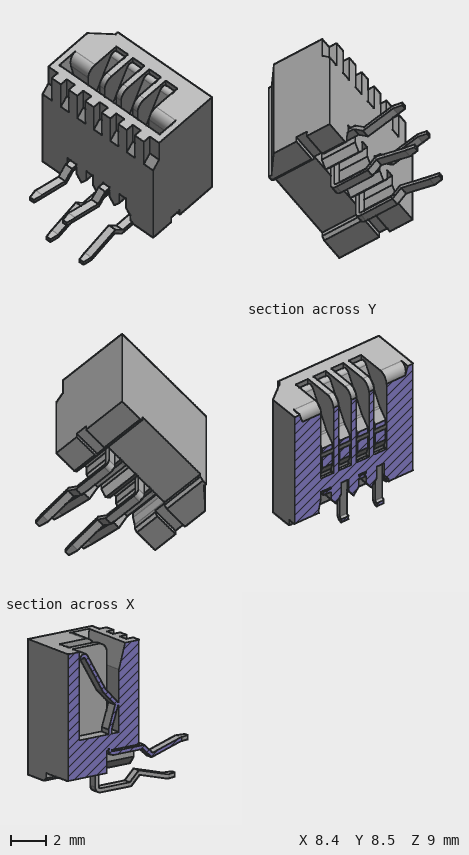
import cadquery as cq
import math


OVERALL_DEPTH = 8.5
OVERALL_HEIGHT = 9.0

BODY_WIDTH = 8.4
BODY_DEPTH = 5.0
BODY_HEIGHT = 8.0
CORNER_CUT_X = 1.25
CORNER_CUT_Y = 1.0
CORNER_STEP = 0.2

PITCH = 1.25
CONTACT_COUNT = 4
CONTACT_XS = [(i - (CONTACT_COUNT - 1) / 2) * PITCH for i in range(CONTACT_COUNT)]

GROOVE_WIDTH = 0.6
END_GROOVE_WIDTH = 0.7
GROOVE_DEPTH = 0.5
GROOVE_LENGTH = 2.0
GROOVE_COUNT = 5

MOUTH_WIDTH = 7.61
MOUTH_FRONT = 1.0
MOUTH_BACK = 2.37
MOUTH_DEPTH = 1.5
THROAT_WIDTH = 6.68
THROAT_FRONT = 1.43
BACK_ROUND = 0.6
THROAT_BACK = MOUTH_BACK - BACK_ROUND
SLOT_FLOOR_WIDTH = 6.26
SLOT_DEPTH = 5.2
SLOT_FLOOR = BODY_HEIGHT - SLOT_DEPTH

CAVITY_WIDTH = 0.86
CAVITY_BACK = 4.17

NOTCH_WIDTH = 4.91
NOTCH_HEIGHT = 0.5
NOTCH_CHAMFER = 0.2
CHANNEL_FRONT = 1.56
CHANNEL_BACK = 2.27
CHANNEL_HEIGHT = 0.4
PIN_SLOT_TOP = 1.82
FLARE_TOP = 1.0
FIRST_SLOT_EXTRA = 0.18
FIRST_SLANT_TOP = 1.305
FIRST_SLANT_BOTTOM = 0.67

STRIP = 0.25
PIN_WIDTH = 0.5
SPRING_WIDTH = 0.75
STEM_Y = 2.03
UPPER_PIN_Z = 1.62
LOWER_PIN_Z = BODY_HEIGHT - OVERALL_HEIGHT + STRIP / 2
KINK_START_Y = -0.31
KINK_Y = -0.92
KINK_RISE = 0.58
PIN_LEVEL_Y = -2.92
PIN_END_Y = BODY_DEPTH - OVERALL_DEPTH
TIP_TAPER_LENGTH = 0.52
TIP_WIDTH = 0.31
PIN_BEND = 0.13

CREST_Y = 3.86
CREST_Z = 7.83
CREST_RADIUS = 0.3
UPPER_SLOPE = math.radians(60)
LOWER_SLOPE = math.radians(46)
KNEE_Y = 2.43
KNEE_BEND = 0.5
CONTACT_TIP_Y = THROAT_FRONT + STRIP / 2
STEM_TOP = SLOT_FLOOR + STRIP


def box(x0, x1, y0, y1, z0, z1):
    """Axis-parallel block between two corners."""
    return cq.Workplane("XY").box(x1 - x0, y1 - y0, z1 - z0, centered=False).translate((x0, y0, z0))


def extrude_x(outline, width, x=0.0):
    """Solid of a YZ outline, centred on x."""
    return cq.Workplane("YZ", origin=(x, 0, 0)).polyline(outline).close().extrude(width / 2, both=True)


def extrude_y(outline, y0, y1):
    """Solid of an XZ outline from y0 to y1."""
    return cq.Workplane("XZ", origin=(0, y1, 0)).polyline(outline).close().extrude(y1 - y0)


def offset_side(path, distance):
    """Points of a mitred parallel to an open path, at the given distance to its left."""
    angles = [math.atan2(b[1] - a[1], b[0] - a[0]) for a, b in zip(path, path[1:])]
    arriving = [angles[0]] + angles
    leaving = angles + [angles[-1]]
    side = []
    for (y, z), before, after in zip(path, arriving, leaving):
        middle = (before + after) / 2
        reach = distance / math.cos((after - before) / 2)
        side.append((y - reach * math.sin(middle), z + reach * math.cos(middle)))
    return side


def bent_strip(path, width, bend_index, inner_radius):
    """Strip along a YZ path, with one of its bends rounded."""
    left = offset_side(path, STRIP / 2)
    right = offset_side(path, -STRIP / 2)
    strip = extrude_x(left + right[::-1], width)
    before, bend, after = path[bend_index - 1:bend_index + 2]
    turn = (bend[0] - before[0]) * (after[1] - bend[1]) - (bend[1] - before[1]) * (after[0] - bend[0])
    inner, outer = (left, right) if turn > 0 else (right, left)
    for side, radius in ((inner, inner_radius), (outer, inner_radius + STRIP)):
        corner = cq.selectors.NearestToPointSelector((0, *side[bend_index]))
        strip = strip.edges("|X").edges(corner).fillet(radius)
    return strip


def housing_block():
    left = -BODY_WIDTH / 2
    cut_back = BODY_DEPTH - CORNER_STEP
    outline = [
        (left, 0),
        (-left, 0),
        (-left, BODY_DEPTH),
        (left + CORNER_CUT_X, BODY_DEPTH),
        (left + CORNER_CUT_X, cut_back),
        (left, cut_back - CORNER_CUT_Y),
    ]
    return cq.Workplane("XY").polyline(outline).close().extrude(BODY_HEIGHT)


def grip_grooves():
    outline = [
        (0, BODY_HEIGHT),
        (GROOVE_DEPTH, BODY_HEIGHT),
        (GROOVE_DEPTH, BODY_HEIGHT - GROOVE_LENGTH + GROOVE_DEPTH),
        (0, BODY_HEIGHT - GROOVE_LENGTH),
    ]
    end_x = (BODY_WIDTH - END_GROOVE_WIDTH) / 2
    grooves = extrude_x(outline, END_GROOVE_WIDTH, -end_x).union(extrude_x(outline, END_GROOVE_WIDTH, end_x))
    for i in range(GROOVE_COUNT):
        x = (i - (GROOVE_COUNT - 1) / 2) * PITCH
        grooves = grooves.union(extrude_x(outline, GROOVE_WIDTH, x))
    return grooves


def card_slot():
    """Slot with sloped front and ends, a rounded back lip and slightly tapered lower ends."""
    throat_z = BODY_HEIGHT - MOUTH_DEPTH
    lip_z = BODY_HEIGHT - BACK_ROUND
    lip_mid = BACK_ROUND * math.sqrt(0.5)
    side = (
        cq.Workplane("YZ", origin=(-MOUTH_WIDTH / 2, 0, 0))
        .moveTo(MOUTH_FRONT, BODY_HEIGHT)
        .lineTo(THROAT_FRONT, throat_z)
        .lineTo(THROAT_FRONT, SLOT_FLOOR)
        .lineTo(THROAT_BACK, SLOT_FLOOR)
        .lineTo(THROAT_BACK, lip_z)
        .threePointArc((MOUTH_BACK - lip_mid, lip_z + lip_mid), (MOUTH_BACK, BODY_HEIGHT))
        .close()
        .extrude(MOUTH_WIDTH)
    )
    right_end = [
        (SLOT_FLOOR_WIDTH / 2, SLOT_FLOOR),
        (THROAT_WIDTH / 2, throat_z),
        (MOUTH_WIDTH / 2, BODY_HEIGHT),
    ]
    left_end = [(-x, z) for x, z in right_end[::-1]]
    return side.intersect(extrude_y(right_end + left_end, MOUTH_FRONT, MOUTH_BACK))


def contact_cavities():
    """One spring cavity per contact, from the throat's front wall to behind the crest."""
    throat_z = BODY_HEIGHT - MOUTH_DEPTH
    outline = [
        (THROAT_FRONT, SLOT_FLOOR),
        (THROAT_FRONT, throat_z),
        (THROAT_BACK, BODY_HEIGHT),
        (CAVITY_BACK, BODY_HEIGHT),
        (CAVITY_BACK, SLOT_FLOOR),
    ]
    cavities = cq.Workplane("XY")
    for x in CONTACT_XS:
        cavities = cavities.union(extrude_x(outline, CAVITY_WIDTH, x))
    return cavities


def bottom_notch():
    half = NOTCH_WIDTH / 2
    right_side = [
        (half + NOTCH_CHAMFER, 0),
        (half, NOTCH_CHAMFER),
        (half, NOTCH_HEIGHT),
    ]
    left_side = [(-x, z) for x, z in right_side[::-1]]
    return extrude_y(right_side + left_side, 0, BODY_DEPTH)


def bottom_channel():
    """Channel across the full width, in front of and behind the pin stems."""
    half = BODY_WIDTH / 2
    return box(-half, half, CHANNEL_FRONT, CHANNEL_BACK, 0, CHANNEL_HEIGHT)


def pin_slots():
    """Slots for the pins, flaring downwards until neighbours meet at the notch ceiling."""
    half = PIN_WIDTH / 2
    half_notch = NOTCH_WIDTH / 2
    slots = cq.Workplane("XY")
    for x in CONTACT_XS:
        outline = [
            (x - half, PIN_SLOT_TOP),
            (x + half, PIN_SLOT_TOP),
            (x + half, FLARE_TOP),
            (x + PITCH / 2, NOTCH_HEIGHT),
            (x - PITCH / 2, NOTCH_HEIGHT),
            (x - half, FLARE_TOP),
        ]
        slots = slots.union(extrude_y(outline, 0, CHANNEL_BACK))
    first_x = CONTACT_XS[0]
    outer_x = first_x - half - FIRST_SLOT_EXTRA
    outer_part = [
        (first_x, PIN_SLOT_TOP),
        (outer_x, PIN_SLOT_TOP),
        (outer_x, FIRST_SLANT_TOP),
        (-half_notch, FIRST_SLANT_BOTTOM),
        (-half_notch, NOTCH_HEIGHT),
        (first_x, NOTCH_HEIGHT),
    ]
    slots = slots.union(extrude_y(outer_part, 0, CHANNEL_BACK))
    return slots.intersect(box(-half_notch, half_notch, 0, CHANNEL_BACK, 0, PIN_SLOT_TOP))


def pin(pin_z, kink_rise):
    """Stem, bend and kinked pin with a tapered tip, centred on X = 0."""
    path = [
        (STEM_Y, STEM_TOP),
        (STEM_Y, pin_z),
        (KINK_START_Y, pin_z),
        (KINK_Y, pin_z + kink_rise),
        (PIN_LEVEL_Y, pin_z),
        (PIN_END_Y, pin_z),
    ]
    strip = bent_strip(path, PIN_WIDTH, 1, PIN_BEND)
    taper_y = PIN_END_Y + TIP_TAPER_LENGTH
    plan = [
        (-TIP_WIDTH / 2, PIN_END_Y),
        (TIP_WIDTH / 2, PIN_END_Y),
        (PIN_WIDTH / 2, taper_y),
        (PIN_WIDTH / 2, BODY_DEPTH),
        (-PIN_WIDTH / 2, BODY_DEPTH),
        (-PIN_WIDTH / 2, taper_y),
    ]
    bottom_z = pin_z - 2 * KINK_RISE
    envelope = cq.Workplane("XY", origin=(0, 0, bottom_z)).polyline(plan).close().extrude(BODY_HEIGHT)
    return strip.intersect(envelope)


def spring_head():
    """Rounded crest, two slopes down to the contact point and a return leg to the stem."""
    inner_radius = CREST_RADIUS - STRIP
    centre_z = CREST_Z - CREST_RADIUS

    def crest_point(radius, angle):
        return (CREST_Y - radius * math.sin(angle), centre_z + radius * math.cos(angle))

    back = -math.pi / 2
    crest = (
        cq.Workplane("YZ")
        .moveTo(*crest_point(CREST_RADIUS, back))
        .threePointArc(crest_point(CREST_RADIUS, 0), crest_point(CREST_RADIUS, UPPER_SLOPE))
        .lineTo(*crest_point(inner_radius, UPPER_SLOPE))
        .threePointArc(crest_point(inner_radius, 0), crest_point(inner_radius, back))
        .close()
        .extrude(SPRING_WIDTH / 2, both=True)
    )
    slope_start = crest_point(CREST_RADIUS - STRIP / 2, UPPER_SLOPE)
    knee_z = slope_start[1] - (slope_start[0] - KNEE_Y) * math.tan(UPPER_SLOPE)
    tip_z = knee_z - (KNEE_Y - CONTACT_TIP_Y) * math.tan(LOWER_SLOPE)
    path = [
        slope_start,
        (KNEE_Y, knee_z),
        (CONTACT_TIP_Y, tip_z),
        (STEM_Y, STEM_TOP),
        (STEM_Y, SLOT_FLOOR),
    ]
    return crest.union(bent_strip(path, SPRING_WIDTH, 1, KNEE_BEND))


result = housing_block()
for cutter in (
    grip_grooves(),
    card_slot(),
    contact_cavities(),
    bottom_notch(),
    bottom_channel(),
    pin_slots(),
):
    result = result.cut(cutter)

upper_contact = pin(UPPER_PIN_Z, -KINK_RISE).union(spring_head())
lower_contact = pin(LOWER_PIN_Z, KINK_RISE).union(spring_head())
for i, x in enumerate(CONTACT_XS):
    contact = upper_contact if i % 2 == 0 else lower_contact
    result = result.union(contact.translate((x, 0, 0)))